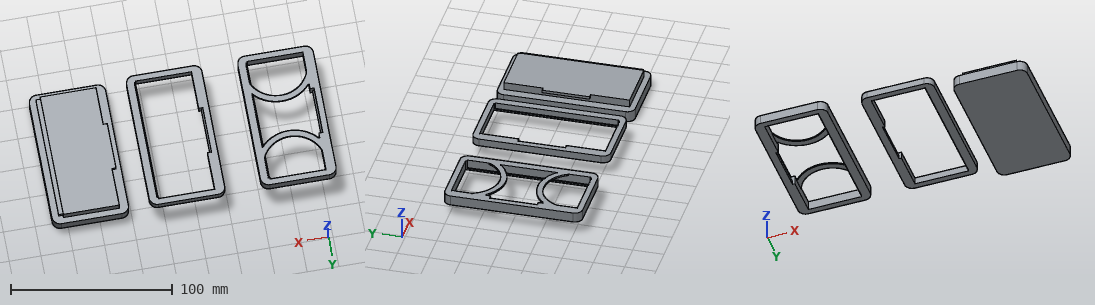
import cadquery as cq
import math

total_length = 178.5
part_depth = 88.0
corner_radius = 5.0
half_depth = part_depth / 2

frame_width = 47.5
frame_pitch = 70.0
tray_width = 48.0
spectacle_frame_left = -total_length / 2
plain_frame_left = spectacle_frame_left + frame_pitch
tray_left = total_length / 2 - tray_width

spectacle_frame_height = 6.6
plain_frame_height = 5.0

opening_left = 6.5
opening_half_depth = 40.2
spectacle_lip_edge = 41.5
plain_lip_edge = 41.6
relief_right = 42.5
relief_half_depth = 39.3
lip_height = 1.0

notch_left = 4.0
notch_half_depth = 15.2
sill_width = 0.95
sill_top = 3.0
sill_slope = 30.0

arch_center_x = 24.8
arch_center_y = 33.5
arch_inner_radius = 19.5
arch_outer_radius = 23.4
arch_thickness = 1.0
gusset_inner_y = 18.2

plate_thickness = 7.3
block_left = 5.9
block_right = 41.0
block_height = plain_frame_height
left_tab_end = 3.4
left_tab_thickness = 1.8
right_tab_end = 44.0
right_tab_bottom = 1.6
right_tab_thickness = 2.1


def slab(x_min, x_max, y_half, z_min, z_max):
    """Box between two X and two Z planes, centred on Y = 0."""
    size = (x_max - x_min, 2 * y_half, z_max - z_min)
    return cq.Workplane("XY").box(*size, centered=(False, True, False)).translate((x_min, 0, z_min))


def rounded_slab(width, z_min, z_max):
    """Full-depth plate with rounded vertical corners, starting at X = 0."""
    return slab(0, width, half_depth, z_min, z_max).edges("|Z").fillet(corner_radius)


def notch_sill():
    """Sill at the foot of the latch notch, its top falling towards the opening."""
    sill_right = notch_left + sill_width
    sill_drop = sill_width * math.tan(math.radians(sill_slope))
    profile = [
        (notch_left, 0),
        (sill_right, 0),
        (sill_right, sill_top - sill_drop),
        (notch_left, sill_top),
    ]
    return (
        cq.Workplane("XZ", origin=(0, notch_half_depth, 0))
        .polyline(profile)
        .close()
        .extrude(2 * notch_half_depth)
    )


def open_frame(height, lip_edge):
    """Rounded frame with its opening, right-hand relief above a lip, and left-hand latch notch."""
    frame = rounded_slab(frame_width, 0, height)
    opening = slab(opening_left, lip_edge, opening_half_depth, 0, height)
    relief = slab(opening_left, relief_right, relief_half_depth, lip_height, height)
    notch = slab(notch_left, opening_left, notch_half_depth, 0, height)
    return frame.cut(opening).cut(relief).cut(notch).union(notch_sill())


def arch(side):
    """Thin arch at one end of the frame opening; side is +1 for +Y and -1 for -Y."""
    bottom = spectacle_frame_height - arch_thickness
    disc_plane = cq.Workplane("XY", origin=(arch_center_x, side * arch_center_y, bottom))
    outer_disc = disc_plane.circle(arch_outer_radius).extrude(arch_thickness)
    inner_disc = disc_plane.circle(arch_inner_radius).extrude(arch_thickness)

    gusset_depth = arch_center_y - gusset_inner_y
    gusset_reach = math.sqrt(arch_outer_radius**2 - gusset_depth**2)
    gusset_right = arch_center_x - gusset_reach
    gusset = (
        cq.Workplane("XY")
        .box(gusset_right - opening_left, gusset_depth, arch_thickness, centered=(False, True, False))
        .translate((opening_left, side * (gusset_inner_y + gusset_depth / 2), bottom))
    )

    span = (
        cq.Workplane("XY")
        .box(relief_right - opening_left, arch_center_y, arch_thickness, centered=(False, True, False))
        .translate((opening_left, side * arch_center_y / 2, bottom))
    )
    return outer_disc.union(gusset).cut(inner_disc).intersect(span)


def make_spectacle_frame():
    """Taller frame whose opening is crossed by two arches."""
    frame = open_frame(spectacle_frame_height, spectacle_lip_edge)
    for side in (1, -1):
        frame = frame.union(arch(side))
    return frame.translate((spectacle_frame_left, 0, 0))


def make_plain_frame():
    """Lower frame with a clear opening."""
    frame = open_frame(plain_frame_height, plain_lip_edge)
    return frame.translate((plain_frame_left, 0, 0))


def make_tray():
    """Base plate carrying a raised block with one latch tab on each long side."""
    right_tab_top = right_tab_bottom + right_tab_thickness
    plate = rounded_slab(tray_width, -plate_thickness, 0)
    block = slab(block_left, block_right, opening_half_depth, 0, block_height)
    left_tab_bottom = block_height - left_tab_thickness
    left_tab = slab(left_tab_end, block_left, notch_half_depth, left_tab_bottom, block_height)
    right_tab = slab(block_right, right_tab_end, relief_half_depth, right_tab_bottom, right_tab_top)
    return plate.union(block).union(left_tab).union(right_tab).translate((tray_left, 0, 0))


spectacle_frame = make_spectacle_frame()
plain_frame = make_plain_frame()
tray = make_tray()

result = cq.Compound.makeCompound([spectacle_frame.val(), plain_frame.val(), tray.val()])